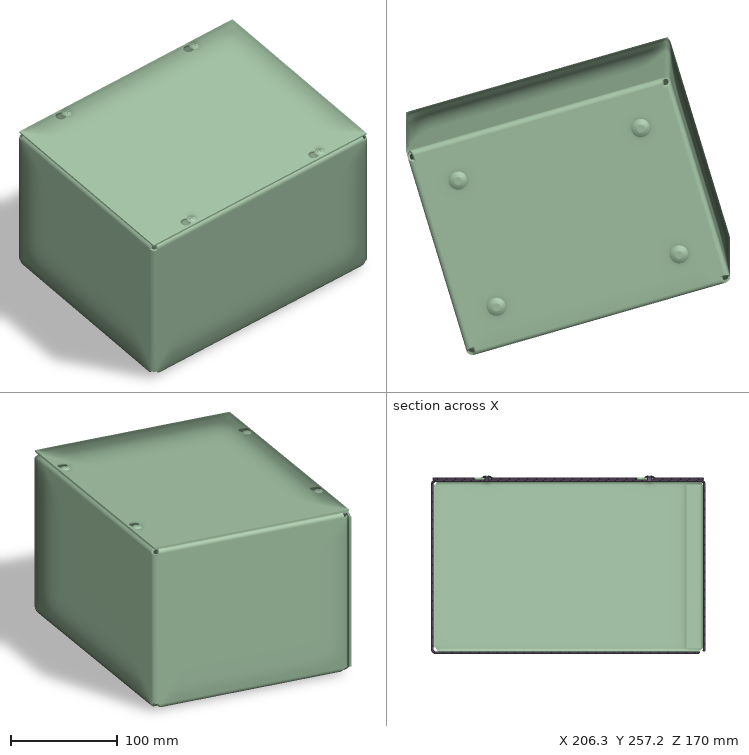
import cadquery as cq
import math


box_x = 206.3
box_y = 257.2
overall_z = 170.0
sheet = 1.95
bend_radius = 5.0
corner_relief_height = 6.0
top_relief_width = 6.2
floor_relief_width = 8.2
top_flange_width = 15.5
seam_flange_length = 12.9

foot_diameter = 17.5
foot_flat_diameter = 7.7
foot_height = 2.8
foot_x = 63.5
foot_y = 89.2

lid_inset = 1.5
keyhole_diameter = 9.8
keyhole_neck = 7.7
keyhole_travel = 7.0

head_diameter = 9.8
head_height = 1.85
shank_diameter = 4.0
cross_length = 5.1
cross_width = 0.98
cross_depth = 1.0
left_cross_angle = -22.0
right_cross_angle = 0.0
screw_x = 94.6
screw_y = 76.0

box_z = overall_z - foot_height - sheet - head_height
inner_bend_radius = bend_radius - sheet
half_x = box_x / 2
half_y = box_y / 2
lid_top = box_z + sheet
screw_points = [(sx * screw_x, sy * screw_y) for sx in (-1, 1) for sy in (-1, 1)]
foot_points = [(sx * foot_x, sy * foot_y) for sx in (-1, 1) for sy in (-1, 1)]


def block(x0, x1, y0, y1, z0, z1):
    """Box between two opposite corners."""
    return cq.Workplane("XY").box(x1 - x0, y1 - y0, z1 - z0, centered=False).translate((x0, y0, z0))


def bent_block(offset, radius):
    """Box set in from the outside by an offset, rounded on every edge but the seam at -X, +Y."""
    x = half_x - offset
    y = half_y - offset
    seam_edge = cq.selectors.BoxSelector((-box_x, 0, 0), (0, box_y, box_z))
    upright_edges = cq.selectors.StringSyntaxSelector("|Z")
    return (
        block(-x, x, -y, y, offset, box_z - offset)
        .edges(upright_edges - seam_edge)
        .fillet(radius)
        .faces("<Z or >Z")
        .edges()
        .fillet(radius)
    )


def dome(diameter, height, flat_diameter=0):
    """Part of a ball standing on the plane z = 0, cut off level at the top if it has a flat there."""
    radius = diameter / 2
    flat_radius = flat_diameter / 2
    centre_z = (height**2 + flat_radius**2 - radius**2) / (2 * height)
    ball = cq.Workplane("XY").sphere(math.hypot(radius, centre_z)).translate((0, 0, centre_z))
    return ball.intersect(block(-radius, radius, -radius, radius, 0, height))


def make_seam():
    """Back wall's end, bent forward into a flange against the inside of the -X wall."""
    flange_x = -half_x + sheet
    bend_x = flange_x + bend_radius
    bend_y = half_y - bend_radius
    length = box_z - 2 * bend_radius
    turn = math.sqrt(0.5)
    bend_and_flange = (
        cq.Workplane("XY", origin=(0, 0, bend_radius))
        .moveTo(bend_x, half_y)
        .threePointArc((bend_x - turn * bend_radius, bend_y + turn * bend_radius), (flange_x, bend_y))
        .lineTo(flange_x, bend_y - seam_flange_length)
        .lineTo(flange_x + sheet, bend_y - seam_flange_length)
        .lineTo(flange_x + sheet, bend_y)
        .threePointArc(
            (bend_x - turn * inner_bend_radius, bend_y + turn * inner_bend_radius),
            (bend_x, half_y - sheet),
        )
        .close()
        .extrude(length)
    )
    clearance = block(flange_x, bend_x, bend_y, half_y, bend_radius, box_z - bend_radius)
    return clearance, bend_and_flange


def corner_relief(sx, sy, skin_width, straight_height):
    """Opening at a floor corner, where three bends would meet.

    It is straight-sided above the bends and flares down to the skin of the floor. At the seam
    it is moved over by the sheet that the back wall laps against.
    """
    lap = sheet if (sx, sy) == (-1, 1) else 0

    def outline(z, width):
        section = cq.Workplane("XY", origin=(sx * half_x, sy * half_y, z))
        return section.rect(2 * (width + lap), 2 * (width - lap))

    straight = outline(0, bend_radius).extrude(straight_height)
    flare = (
        outline(0, skin_width)
        .workplane(offset=bend_radius)
        .rect(2 * (bend_radius + lap), 2 * (bend_radius - lap))
        .loft(ruled=True)
    )
    return straight.union(flare)


def cut_corner_reliefs(housing):
    for sx in (-1, 1):
        for sy in (-1, 1):
            at_seam = (sx, sy) == (-1, 1)
            straight_height = bend_radius if at_seam else corner_relief_height
            floor_relief = corner_relief(sx, sy, floor_relief_width, straight_height)
            top_relief = corner_relief(sx, sy, top_relief_width, bend_radius)
            top_relief = top_relief.mirror("XY").translate((0, 0, box_z))
            housing = housing.cut(floor_relief).cut(top_relief)
    return housing


def make_housing():
    housing = bent_block(0, bend_radius).cut(bent_block(sheet, inner_bend_radius))

    opening_x = half_x - top_flange_width
    opening_y = half_y - top_flange_width
    housing = housing.cut(
        block(-opening_x, opening_x, -opening_y, opening_y, box_z - 2 * sheet, box_z)
    )

    seam_clearance, seam_flange = make_seam()
    housing = housing.cut(seam_clearance).union(seam_flange)
    housing = cut_corner_reliefs(housing)

    screw_holes = (
        cq.Workplane("XY", origin=(0, 0, box_z - sheet))
        .pushPoints(screw_points)
        .circle(shank_diameter / 2)
        .extrude(sheet)
    )
    housing = housing.cut(screw_holes)

    foot = dome(foot_diameter, foot_height, foot_flat_diameter).rotate((0, 0, 0), (1, 0, 0), 180)
    for x, y in foot_points:
        housing = housing.union(foot.translate((x, y, 0)))
    return housing


def make_lid():
    lid_x = half_x - lid_inset
    lid_y = half_y - lid_inset
    lid = block(-lid_x, lid_x, -lid_y, lid_y, box_z, lid_top)

    for x, y in screw_points:
        keyhole_y = y - keyhole_travel
        neck = (
            cq.Workplane("XY", origin=(x, (y + keyhole_y) / 2, box_z))
            .slot2D(keyhole_travel + keyhole_neck, keyhole_neck, 90)
            .extrude(sheet)
        )
        round_end = (
            cq.Workplane("XY", origin=(x, keyhole_y, box_z))
            .circle(keyhole_diameter / 2)
            .extrude(sheet)
        )
        lid = lid.cut(neck).cut(round_end)
    return lid


def make_screw(x, y):
    """Domed cross-recess screw, its shank ending flush with the underside of the flange."""
    shank_length = 2 * sheet
    head = dome(head_diameter, head_height)
    shank = cq.Workplane("XY").circle(shank_diameter / 2).extrude(-shank_length)
    cross = (
        cq.Workplane("XY", origin=(0, 0, head_height - cross_depth))
        .rect(cross_length, cross_width)
        .extrude(cross_depth)
    )
    cross = cross.union(cross.rotate((0, 0, 0), (0, 0, 1), 90))
    angle = left_cross_angle if x < 0 else right_cross_angle
    screw = head.union(shank).cut(cross).rotate((0, 0, 0), (0, 0, 1), angle)
    return screw.translate((x, y, lid_top))


housing = make_housing()
lid = make_lid()
screws = [make_screw(x, y) for x, y in screw_points]

result = cq.Compound.makeCompound([housing.val(), lid.val(), *[screw.val() for screw in screws]])